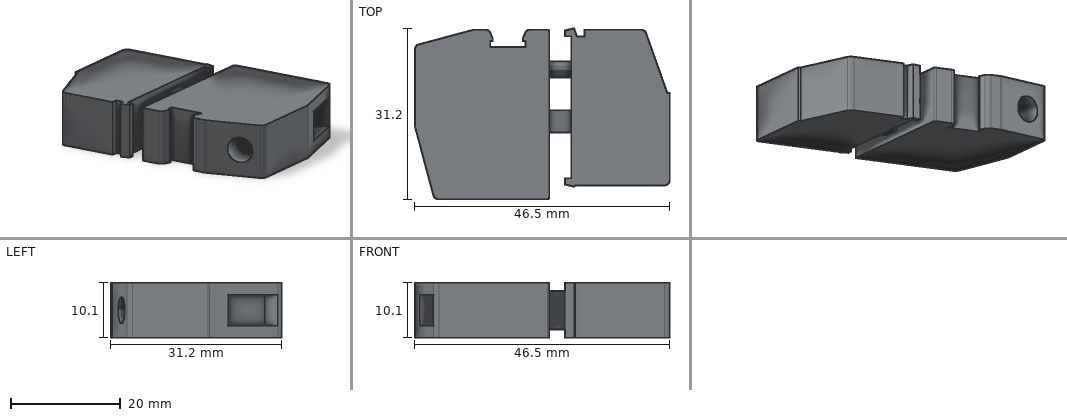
import cadquery as cq
import math

THICKNESS = 10.1
MID_Z = THICKNESS / 2
TOP_Y = 31.0
DRAFT_ANGLE = 15.0
DRAFT = math.tan(math.radians(DRAFT_ANGLE))
CORNER_RADIUS = 1.0

PLUG_WIDTH = 24.55
ENTRY_FACE_TOP_Y = 13.35
SCREW_FACE_BOTTOM_Y = 28.1
MATING_EDGE_RADIUS = 0.35

NOTCH_X = 16.98
NOTCH_FLOOR_Y = 27.82
NOTCH_HALF_WIDTH = 3.2
LIP_HALF_WIDTH = 2.7
LIP_BOTTOM_Y = 28.88
LIP_TOP_Y = 29.3
MOUTH_HALF_WIDTH = 3.42

SCREW_HOLE_DIAMETER = 4.8
SCREW_HOLE_X = 4.37
SCREW_HOLE_DEPTH = 5.0

POCKET_TOP_Y = 9.8
POCKET_BOTTOM_Y = 0.76
POCKET_HEIGHT = 5.6
POCKET_DEPTH = 3.0
POCKET_RAMP = 1.67

SOCKET_LEFT_X = 28.52
SOCKET_RIGHT_X = 46.55
SOCKET_BOTTOM_Y = 2.52
SLOPE_TOP_X = 42.0
SLOPE_END_X = 46.1
SLOPE_END_Y = 19.45

HOOK_TIP_X = 27.42
HOOK_PEAK_X = 29.1
HOOK_PEAK_RISE = 0.24
HOOK_TIP_DROP = 0.18
HOOK_HEIGHT = 1.24
LOWER_HOOK_TOP_Y = 3.88
LOWER_HOOK_END_X = 29.3
GROOVE_LEFT_X = 29.58
GROOVE_RIGHT_X = 30.94

PIN_DIAMETER = 3.06
PIN_Y = 23.72
BAR_BOTTOM_Y = 12.18
BAR_TOP_Y = 16.28
BAR_HEIGHT = 7.1


def extrude_outline(points):
    return cq.Workplane("XY").polyline(points).close().extrude(THICKNESS)


def round_corners(body, corners, radius):
    """Fillet the upright edges standing on the given (x, y) corners."""
    for x, y in corners:
        edge = cq.selectors.NearestToPointSelector((x, y, MID_Z))
        body = body.edges("|Z").edges(edge).fillet(radius)
    return body


def entry_face_x(y):
    return (ENTRY_FACE_TOP_Y - y) * DRAFT


def make_plug():
    left_shoulder = (NOTCH_X - MOUTH_HALF_WIDTH, TOP_Y)
    right_shoulder = (NOTCH_X + MOUTH_HALF_WIDTH, TOP_Y)
    entry_bottom = (entry_face_x(0), 0)
    entry_top = (0, ENTRY_FACE_TOP_Y)
    screw_bottom = (0, SCREW_FACE_BOTTOM_Y)
    screw_top = ((TOP_Y - SCREW_FACE_BOTTOM_Y) / DRAFT, TOP_Y)
    mating_bottom = (PLUG_WIDTH, 0)
    mating_top = (PLUG_WIDTH, TOP_Y)
    body = extrude_outline([
        entry_bottom,
        entry_top,
        screw_bottom,
        screw_top,
        left_shoulder,
        (NOTCH_X - LIP_HALF_WIDTH, LIP_TOP_Y),
        (NOTCH_X - LIP_HALF_WIDTH, LIP_BOTTOM_Y),
        (NOTCH_X - NOTCH_HALF_WIDTH, LIP_BOTTOM_Y),
        (NOTCH_X - NOTCH_HALF_WIDTH, NOTCH_FLOOR_Y),
        (NOTCH_X + NOTCH_HALF_WIDTH, NOTCH_FLOOR_Y),
        (NOTCH_X + NOTCH_HALF_WIDTH, LIP_BOTTOM_Y),
        (NOTCH_X + LIP_HALF_WIDTH, LIP_BOTTOM_Y),
        (NOTCH_X + LIP_HALF_WIDTH, LIP_TOP_Y),
        right_shoulder,
        mating_top,
        mating_bottom,
    ])
    large_corners = [entry_bottom, entry_top, screw_bottom, screw_top, left_shoulder, right_shoulder]
    body = round_corners(body, large_corners, CORNER_RADIUS)
    return round_corners(body, [mating_bottom, mating_top], MATING_EDGE_RADIUS)


def make_screw_hole():
    face_y = SCREW_FACE_BOTTOM_Y + SCREW_HOLE_X * DRAFT
    angle = math.radians(DRAFT_ANGLE)
    inward = cq.Vector(math.sin(angle), -math.cos(angle), 0)
    mouth = cq.Vector(SCREW_HOLE_X, face_y, MID_Z)
    hole = cq.Solid.makeCylinder(SCREW_HOLE_DIAMETER / 2, SCREW_HOLE_DEPTH, mouth, inward)
    return cq.Workplane("XY").add(hole)


def make_wire_pocket():
    angle = math.radians(DRAFT_ANGLE)
    inward = cq.Vector(math.cos(angle), math.sin(angle), 0)
    upward = cq.Vector(-math.sin(angle), math.cos(angle), 0)
    mouth_top = cq.Vector(entry_face_x(POCKET_TOP_Y), POCKET_TOP_Y, 0)
    mouth_bottom = cq.Vector(entry_face_x(POCKET_BOTTOM_Y), POCKET_BOTTOM_Y, 0)
    floor_top = mouth_top + inward * POCKET_DEPTH
    floor_bottom = mouth_bottom + inward * POCKET_DEPTH + upward * POCKET_RAMP
    corners = [mouth_top, floor_top, floor_bottom, mouth_bottom]
    return (
        cq.Workplane("XY")
        .workplane(offset=MID_Z - POCKET_HEIGHT / 2)
        .polyline([(corner.x, corner.y) for corner in corners])
        .close()
        .extrude(POCKET_HEIGHT)
    )


def make_socket():
    hook_bottom_y = TOP_Y - HOOK_HEIGHT
    slope_top = (SLOPE_TOP_X, TOP_Y)
    bottom_right = (SOCKET_RIGHT_X, SOCKET_BOTTOM_Y)
    body = extrude_outline([
        (SOCKET_LEFT_X, LOWER_HOOK_TOP_Y),
        (SOCKET_LEFT_X, hook_bottom_y),
        (HOOK_TIP_X, hook_bottom_y),
        (HOOK_TIP_X, TOP_Y - HOOK_TIP_DROP),
        (HOOK_PEAK_X, TOP_Y + HOOK_PEAK_RISE),
        (GROOVE_LEFT_X, hook_bottom_y),
        (GROOVE_RIGHT_X, hook_bottom_y),
        (GROOVE_RIGHT_X, TOP_Y),
        slope_top,
        (SLOPE_END_X, SLOPE_END_Y),
        (SOCKET_RIGHT_X, SLOPE_END_Y),
        bottom_right,
        (LOWER_HOOK_END_X, SOCKET_BOTTOM_Y),
        (HOOK_PEAK_X, SOCKET_BOTTOM_Y - HOOK_PEAK_RISE),
        (HOOK_TIP_X, SOCKET_BOTTOM_Y + HOOK_TIP_DROP),
        (HOOK_TIP_X, LOWER_HOOK_TOP_Y),
    ])
    return round_corners(body, [slope_top, bottom_right], CORNER_RADIUS)


def make_contacts():
    gap = SOCKET_LEFT_X - PLUG_WIDTH
    pin_start = cq.Vector(PLUG_WIDTH, PIN_Y, MID_Z)
    pin = cq.Solid.makeCylinder(PIN_DIAMETER / 2, gap, pin_start, cq.Vector(1, 0, 0))
    bar_corner = cq.Vector(PLUG_WIDTH, BAR_BOTTOM_Y, MID_Z - BAR_HEIGHT / 2)
    bar = cq.Solid.makeBox(gap, BAR_TOP_Y - BAR_BOTTOM_Y, BAR_HEIGHT, bar_corner)
    return cq.Workplane("XY").add(pin).union(cq.Workplane("XY").add(bar))


plug = make_plug().cut(make_wire_pocket()).cut(make_screw_hole())
result = plug.union(make_contacts()).union(make_socket())